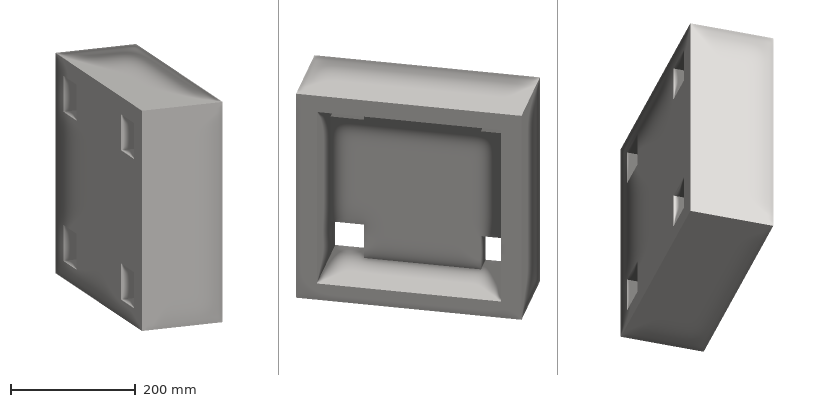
import cadquery as cq

width = 370.0
depth = 139.5
height = 367.0

plate_thickness = 35.0
side_wall = 34.0
top_wall = 29.2

window_width = 55.0
window_height = 60.0

cavity_width = width - 2 * side_wall
cavity_height = height - 2 * top_wall
window_spacing_x = cavity_width - window_width
window_spacing_z = cavity_height - window_height

block = cq.Workplane("XY").box(width, depth, height, centered=(True, False, True))

cavity = (
    cq.Workplane("XZ", origin=(0, plate_thickness, 0))
    .rect(cavity_width, cavity_height)
    .extrude(-(depth - plate_thickness))
)

windows = (
    cq.Workplane("XZ")
    .rarray(window_spacing_x, window_spacing_z, 2, 2)
    .rect(window_width, window_height)
    .extrude(-plate_thickness)
)

result = block.cut(cavity).cut(windows)